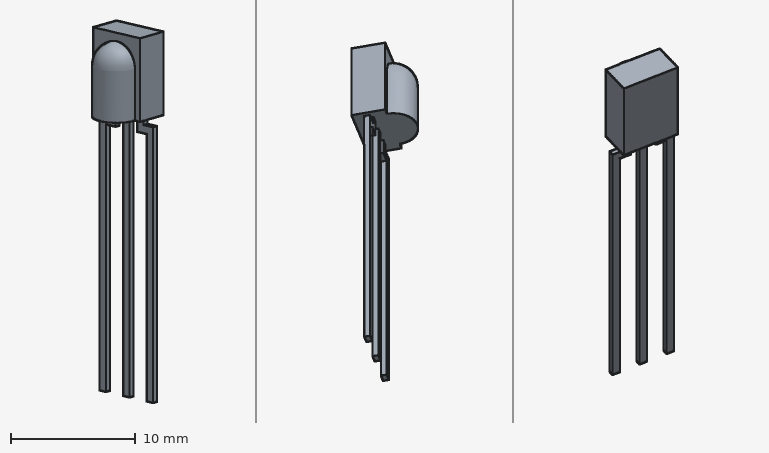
import cadquery as cq

body_width = 5.1
body_depth = 2.8
body_height = 6.95

lens_radius = 1.98
lens_shoulder_height = 4.27

total_height = 30.5
lead_length = total_height - body_height
lead_width = 0.7
lead_thickness = 0.5
lead_center_y = 1.4
lead_span = 5.8
neck_inner_x = 1.15
neck_outer_x = 1.85
step_top_z = -0.6
step_bottom_z = -1.3


def make_body():
    return cq.Workplane("XY").box(
        body_width, body_depth, body_height, centered=(True, False, False)
    )


def make_lens():
    column = cq.Workplane("XY").circle(lens_radius).extrude(lens_shoulder_height)
    dome = cq.Workplane("XY", origin=(0, 0, lens_shoulder_height)).sphere(lens_radius)
    front_half = cq.Workplane("XY").box(
        body_width, body_depth, body_height, centered=(True, True, False)
    ).translate((0, -body_depth / 2, 0))
    return column.union(dome).intersect(front_half)


def lead_plane():
    return cq.Workplane("XZ", origin=(0, lead_center_y, 0))


def make_center_lead():
    return (
        lead_plane()
        .center(0, -lead_length / 2)
        .rect(lead_width, lead_length)
        .extrude(lead_thickness / 2, both=True)
    )


def make_outer_lead():
    """Lead on the +X side: a neck, a sideways step and a long straight leg."""
    outer_x = lead_span / 2
    inner_x = outer_x - lead_width
    outline = [
        (neck_inner_x, 0),
        (neck_outer_x, 0),
        (neck_outer_x, step_top_z),
        (outer_x, step_top_z),
        (outer_x, -lead_length),
        (inner_x, -lead_length),
        (inner_x, step_bottom_z),
        (neck_inner_x, step_bottom_z),
    ]
    return lead_plane().polyline(outline).close().extrude(lead_thickness / 2, both=True)


outer_lead = make_outer_lead()
result = (
    make_body()
    .union(make_lens())
    .union(make_center_lead())
    .union(outer_lead)
    .union(outer_lead.mirror("YZ"))
)